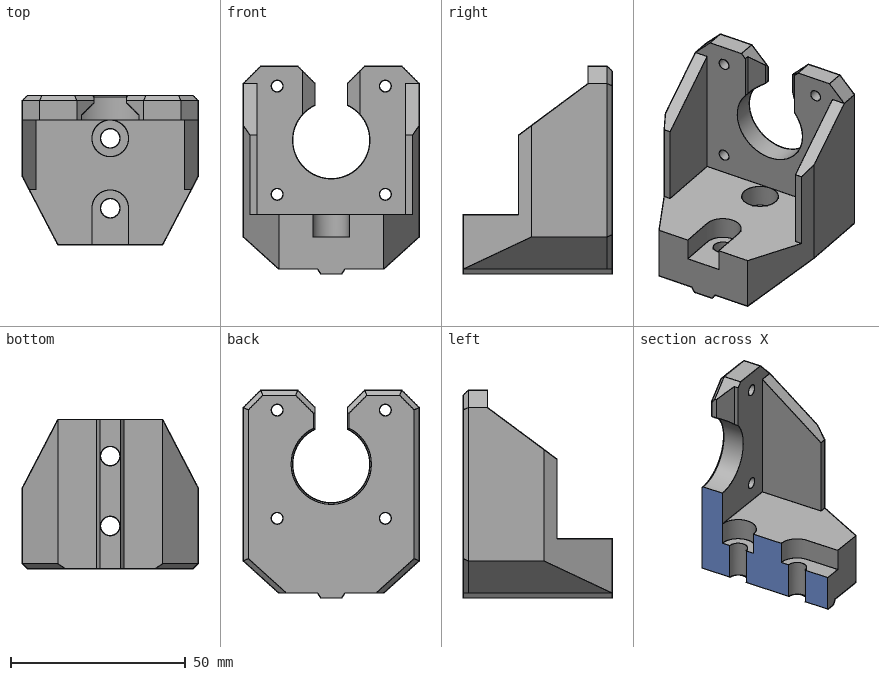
import cadquery as cq

width = 50.4
depth = 42.8
height = 59.6
half_width = width / 2

rail_height = 1.45
rail_top_width = 7.85
rail_bottom_width = 5.95
floor_z = 17.05
nose_half_width = 15.0
taper_start = 23.2
side_bevel_top_z = 10.65

plate_thickness = 7.05
corner_cut = 5.0
back_chamfer = 1.5
wall_thickness = 4.0
wall_depth = 26.95
wall_front_z = 39.8
wall_back_z = height - corner_cut

motor_z = 38.4
bore_diameter = 22.05
gap_half_width = 4.6
mouth_half_width = 8.3
mouth_start = 2.0
mouth_end = mouth_start + mouth_half_width - gap_half_width
opening_chamfer = 0.5
motor_hole_spacing = 31.0
motor_hole_diameter = 3.3

bolt_diameter = 5.5
bolt_head_diameter = 10.5
bolt_seat_z = 10.65
back_bolt_y = -(plate_thickness + bolt_head_diameter / 2)
bolt_spacing = 20.0
front_bolt_y = back_bolt_y - bolt_spacing


def mirrored(right_side):
    """Close a half outline across the centre line."""
    return right_side + [(-x, y) for x, y in reversed(right_side) if x != 0]


def make_front_outline():
    """Full-depth block with cut corners, a V notch on top and a chamfered back face."""
    notch_half_width = gap_half_width + corner_cut
    outline = mirrored([
        (nose_half_width, rail_height),
        (half_width, side_bevel_top_z),
        (half_width, height - corner_cut),
        (half_width - corner_cut, height),
        (notch_half_width, height),
        (0, height - notch_half_width),
    ])
    block = cq.Workplane("XZ").polyline(outline).close().extrude(depth)
    above_bottom = cq.selectors.BoxSelector(
        (-width, -back_chamfer, side_bevel_top_z / 2), (width, back_chamfer, 2 * height)
    )
    return block.faces(">Y").edges(above_bottom).chamfer(back_chamfer)


def make_plan_prism():
    """Plan shape whose sides taper toward the front nose."""
    outline = mirrored([
        (half_width, 0),
        (half_width, -taper_start),
        (nose_half_width, -depth),
    ])
    return cq.Workplane("XY").polyline(outline).close().extrude(height)


def make_side_prism():
    """Side shape: low base, sloping wall and tall plate."""
    outline = [
        (0, 0),
        (-depth, 0),
        (-depth, floor_z),
        (-wall_depth, floor_z),
        (-wall_depth, wall_front_z),
        (-plate_thickness, wall_back_z),
        (-plate_thickness, height),
        (0, height),
    ]
    return cq.Workplane("YZ").polyline(outline).close().extrude(half_width, both=True)


def make_space_between_walls():
    """Open space above the floor, in front of the motor plate."""
    return cq.Workplane("XY").box(
        width - 2 * wall_thickness, depth - plate_thickness, height - floor_z, centered=(True, False, False)
    ).translate((0, -depth, floor_z))


def make_rail():
    """Trapezoidal rail along the underside."""
    outline = mirrored([(rail_bottom_width / 2, 0), (rail_top_width / 2, rail_height)])
    return cq.Workplane("XZ").polyline(outline).close().extrude(depth)


def make_motor_opening():
    """Round bore, open to the top through a gap that widens toward the front."""
    bore_radius = bore_diameter / 2
    bore_profile = [
        (0, 0),
        (bore_radius + opening_chamfer, 0),
        (bore_radius, -opening_chamfer),
        (bore_radius, -plate_thickness),
        (0, -plate_thickness),
    ]
    bore = cq.Workplane("XY").polyline(bore_profile).close().revolve(360, (0, 0, 0), (0, 1, 0))
    gap_outline = mirrored([
        (gap_half_width + opening_chamfer, 0),
        (gap_half_width, -opening_chamfer),
        (gap_half_width, -mouth_start),
        (mouth_half_width, -mouth_end),
        (mouth_half_width, -plate_thickness),
    ])
    gap = cq.Workplane("XY").polyline(gap_outline).close().extrude(height - motor_z)
    return bore.union(gap).translate((0, 0, motor_z))


def make_motor_holes():
    """Four screw holes in a square around the bore."""
    return (
        cq.Workplane("XZ", origin=(0, 0, motor_z))
        .rect(motor_hole_spacing, motor_hole_spacing, forConstruction=True)
        .vertices()
        .circle(motor_hole_diameter / 2)
        .extrude(plate_thickness)
    )


def make_bolt_cuts():
    """Two counterbored bolt holes, the front one open through the nose."""
    bolt_centres = [(0, back_bolt_y), (0, front_bolt_y)]
    holes = cq.Workplane("XY").pushPoints(bolt_centres).circle(bolt_diameter / 2).extrude(floor_z)
    seats = (
        cq.Workplane("XY", origin=(0, 0, bolt_seat_z))
        .pushPoints(bolt_centres)
        .circle(bolt_head_diameter / 2)
        .extrude(floor_z - bolt_seat_z)
    )
    slot = cq.Workplane("XY").box(
        bolt_head_diameter, depth + front_bolt_y, floor_z - bolt_seat_z, centered=(True, False, False)
    ).translate((0, -depth, bolt_seat_z))
    return holes.union(seats).union(slot)


body = make_front_outline().intersect(make_plan_prism()).intersect(make_side_prism())
body = body.cut(make_space_between_walls()).union(make_rail())
result = body.cut(make_motor_opening()).cut(make_motor_holes()).cut(make_bolt_cuts())